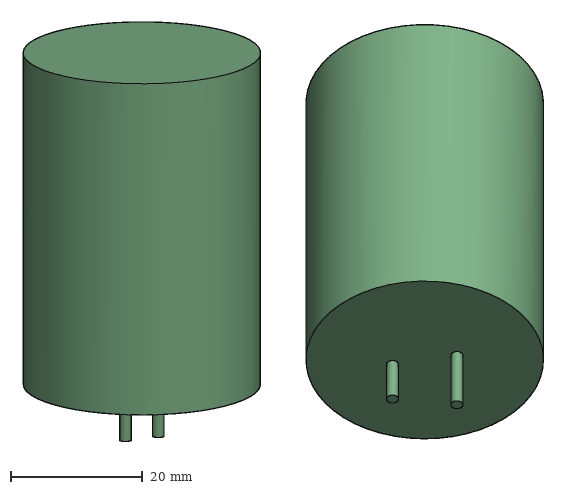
import cadquery as cq

total_height = 62.0
can_diameter = 36.0
long_lead_length = 10.0
can_height = total_height - long_lead_length

lead_diameter = 1.8
short_lead_length = 7.0
lead_spacing = 10.0


def make_can():
    """Plain cylinder standing on the plane Z = 0."""
    return cq.Workplane("XY").circle(can_diameter / 2).extrude(can_height)


def make_lead(x, length):
    """Round lead hanging from the underside of the can."""
    return cq.Workplane("XY").center(x, 0).circle(lead_diameter / 2).extrude(-length)


can = make_can()

lead_layout = [
    (-lead_spacing / 2, long_lead_length),
    (lead_spacing / 2, short_lead_length),
]
leads = [make_lead(x, length) for x, length in lead_layout]

result = cq.Compound.makeCompound([can.val(), *[lead.val() for lead in leads]])